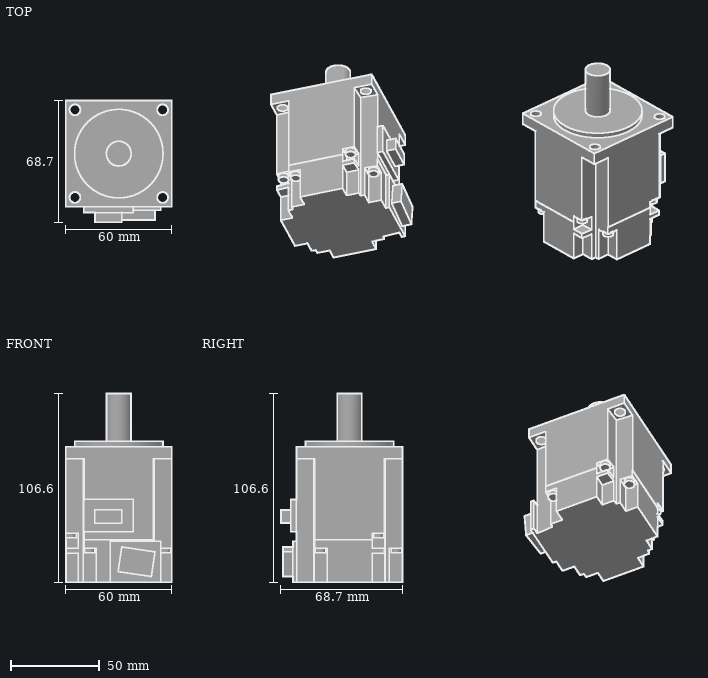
import cadquery as cq

total_height = 106.6
flange_side = 60.0
flange_thickness = 7.0
shaft_length = 27.0
shaft_diameter = 14.0
pilot_height = 3.0
pilot_diameter = 50.0
hole_spacing = 49.5
hole_diameter = 6.0

half_side = flange_side / 2
recess_inner = 20.1
recess_outer = 19.5
cap_height = 24.0
cap_inset = 0.1

pocket_inner = 12.7
low_pocket_floor = 22.5
low_pocket_top = 19.3
high_pocket_floor = 22.9
high_pocket_top = 27.8
shelf_top = 19.3
shelf_bottom = 16.4

head_diameter = 5.8
head_height = 2.7
head_along = 16.4
low_head_out = 26.5
high_head_out = 27.0

upper_plate = (-19.8, 28.5, 27.9, 18.3)
upper_plate_depth = 3.3
upper_plug = (-13.5, 33.4, 15.4, 7.6)
upper_plug_reach = 8.7
lower_plate = (-4.7, 0, 28.5, 23.2)
lower_plate_depth = 2.0
lower_plug_center = (10.0, 11.6)
lower_plug_width = 19.0
lower_plug_height = 14.1
lower_plug_tilt = 8.5
lower_plug_reach = 7.6

pilot_top = total_height - shaft_length
cap_half = half_side - cap_inset
flange_top = pilot_top - pilot_height
flange_bottom = flange_top - flange_thickness


def box(x_min, x_max, y_min, y_max, z_min, z_max):
    size = (x_max - x_min, y_max - y_min, z_max - z_min)
    return cq.Workplane("XY").box(*size, centered=False).translate((x_min, y_min, z_min))


def disc(diameter, z_min, z_max):
    return cq.Workplane("XY", origin=(0, 0, z_min)).circle(diameter / 2).extrude(z_max - z_min)


def turned(shape, quarter_turns):
    return shape.rotate((0, 0, 0), (0, 0, 1), -90 * quarter_turns)


def connector_block(rectangle, reach):
    left, bottom, width, height = rectangle
    return box(left, left + width, -half_side - reach, -cap_half, bottom, bottom + height)


def corner_recess():
    """Recess with slightly flared walls along the (-X, -Y) corner."""
    outline = [
        (-recess_inner, -recess_inner),
        (-recess_outer, -half_side),
        (-half_side, -half_side),
        (-half_side, -recess_outer),
    ]
    return cq.Workplane("XY").polyline(outline).close().extrude(flange_bottom)


def low_pocket():
    """Pocket in the -Y face, open at the foot."""
    return box(-recess_inner, -pocket_inner, -half_side, -low_pocket_floor, 0, low_pocket_top)


def high_pocket():
    """Pocket in the -X face, divided by a shelf."""
    plan = (-half_side, -high_pocket_floor, -recess_inner, -pocket_inner)
    return box(*plan, 0, shelf_bottom).union(box(*plan, shelf_top, high_pocket_top))


def screw_head(x, y, ceiling):
    return disc(head_diameter, ceiling - head_height, ceiling).translate((x, y, 0))


result = box(-half_side, half_side, -half_side, half_side, cap_height, flange_top)
result = result.union(box(-cap_half, cap_half, -cap_half, cap_half, 0, cap_height))

for corner in range(4):
    result = result.cut(turned(corner_recess(), corner))
    result = result.cut(turned(low_pocket(), corner))
    result = result.union(turned(screw_head(-head_along, -low_head_out, low_pocket_top), corner))
    if corner < 3:
        result = result.cut(turned(high_pocket(), corner))
        result = result.union(turned(screw_head(-high_head_out, -head_along, high_pocket_top), corner))

holes = (
    cq.Workplane("XY", origin=(0, 0, flange_bottom))
    .rect(hole_spacing, hole_spacing, forConstruction=True)
    .vertices()
    .circle(hole_diameter / 2)
    .extrude(flange_thickness)
)
result = result.cut(holes)

result = result.union(disc(pilot_diameter, flange_top, pilot_top))
result = result.union(disc(shaft_diameter, pilot_top, total_height))

result = result.union(connector_block(upper_plate, upper_plate_depth))
result = result.union(connector_block(upper_plug, upper_plug_reach))

result = result.union(connector_block(lower_plate, lower_plate_depth))
plug_x, plug_z = lower_plug_center
lower_plug = (
    cq.Workplane("XZ", origin=(plug_x, -half_side, plug_z))
    .transformed(rotate=(0, 0, -lower_plug_tilt))
    .rect(lower_plug_width, lower_plug_height)
    .extrude(lower_plug_reach)
)
result = result.union(lower_plug)